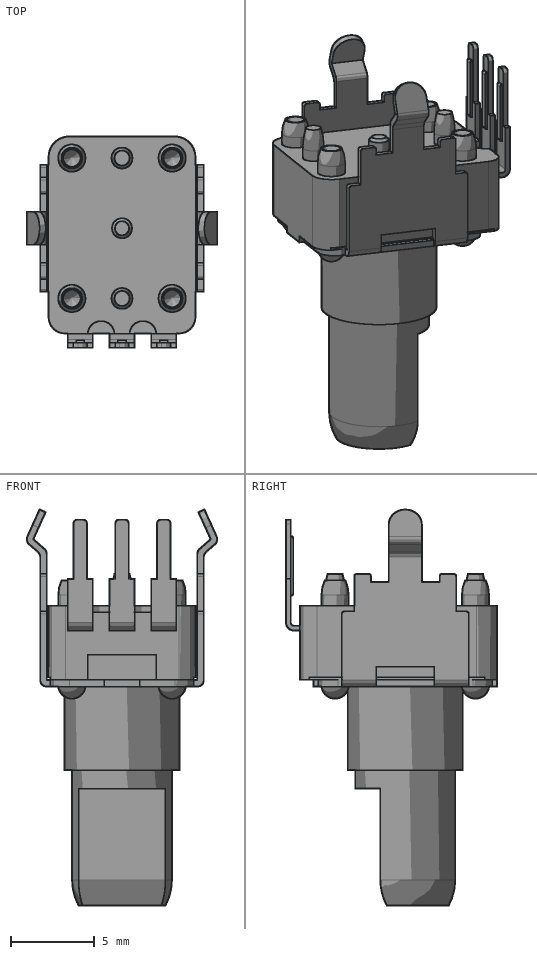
import cadquery as cq
import math


BUSHING_RADIUS = 3.45
BUSHING_BOTTOM = -5.0
SHAFT_RADIUS = 3.0
SHAFT_BOTTOM = -13.1
SHAFT_FLAT_TOP = -6.1
SHAFT_FLAT_Y = -1.5
SHAFT_TIP_HEIGHT = 1.55
SHAFT_TIP_INSET = 0.4

SHEET = 0.4
PLATE_HALF_X = 4.3
PLATE_HALF_Y = 5.2
PLATE_CORNER = 1.15
PLATE_TAB_WIDTH = 2.1
PLATE_TAB_HALF_Y = 5.5
CLIP_OUTER_X = 4.9
CLIP_MID_X = CLIP_OUTER_X - SHEET / 2
CLIP_WIDTH = 7.6
CLIP_SHOULDER_Z = 4.5
CLIP_UPPER_WIDTH = 6.1
CLIP_UPPER_Z = 6.75
CLIP_CORNER = 0.15
CLIP_BEND_RADIUS = 0.4
TONGUE_WIDTH = 2.0
TONGUE_NOTCH_WIDTH = 4.1
TONGUE_NOTCH_Z = 6.27
TONGUE_BEND_Z = 8.03
TONGUE_ELBOW_X = 5.545
TONGUE_ELBOW_Z = 8.77
TONGUE_TIP_X = 4.75
TONGUE_TIP_Z = 10.52
WINDOW_WIDTH = 3.45
WINDOW_TOP = 1.2
WINDOW_LEDGE_X = 4.65

BODY_HALF_X = 4.4
BODY_BACK = 5.5
BODY_FRONT = -6.3
BODY_TOP = 4.85
BODY_CORNER = 1.0
BODY_BACK_CORNER = 1.25
BODY_STEP_TOP = 0.55
BODY_STEP_INSET = 0.1
POCKET_WIDTH = 4.1
POCKET_TOP = 1.9
POCKET_DEPTH = 1.4
SCALLOP_RADIUS = 0.8
SCALLOP_DEPTH = 0.4
SCALLOP_CENTER_Y = BODY_FRONT - 0.05
PAD_OUTER_X = 4.5

RIVET_X = 3.0
RIVET_Y = 4.2
RIVET_RADIUS = 0.82
COLLAR_HEIGHT = 0.65
RIVET_TOP = 6.36
RIVET_TOP_RADIUS = 0.62
RIVET_HOLE_RADIUS = 0.52
RIVET_HOLE_DEPTH = 0.6
RIVET_HEAD_HEIGHT = 0.72
PEG_RADIUS = 0.63
PEG_TOP = 6.75
PEG_TOP_RADIUS = 0.45
CENTER_PEG_RADIUS = 0.6
CENTER_PEG_TOP = 5.7
CENTER_PEG_CHAMFER = 0.18

TERMINAL_PITCH = 2.5
TERMINAL_SHEET = 0.3
TERMINAL_FRONT = -7.15
TERMINAL_BOTTOM = 3.35
TERMINAL_BEND_RADIUS = 0.5
TERMINAL_ROOT = 1.0
TERMINAL_WIDTH = 1.52
TERMINAL_SHOULDER_Z = 6.45
TERMINAL_PIN_WIDTH = 0.82
TERMINAL_TOP = 10.0
TERMINAL_TIP_RADIUS = 0.25
BEAD_WIDTH = 0.5
BEAD_HEIGHT = 0.15
BEAD_EDGE_RADIUS = 0.13
BEAD_BOTTOM = 5.45
BEAD_TOP = 9.0


def box(x0, x1, y0, y1, z0, z1):
    """Block between two opposite corners."""
    return cq.Workplane("XY").box(x1 - x0, y1 - y0, z1 - z0, centered=False).translate((x0, y0, z0))


def cylinder(radius, bottom, top, x=0, y=0):
    """Upright cylinder centred on (x, y)."""
    return cq.Workplane("XY", origin=(x, y, bottom)).circle(radius).extrude(top - bottom)


def mirror_x(shape):
    """The shape together with its mirror image on the other X side."""
    return shape.union(shape.mirror("YZ"))


def tip_arc_radius():
    """Radius of the arc that leaves the shaft side tangentially and reaches the tip."""
    return (SHAFT_TIP_HEIGHT**2 + SHAFT_TIP_INSET**2) / (2 * SHAFT_TIP_INSET)


def rounded_tip_profile(plane, near, side):
    """Profile from `near` to the shaft side at `side`, its bottom corner rounded off."""
    tip_top = SHAFT_BOTTOM + SHAFT_TIP_HEIGHT
    radius = tip_arc_radius()
    half_angle = math.asin(SHAFT_TIP_HEIGHT / radius) / 2
    outward = math.copysign(1, side - near)
    middle = side - outward * radius * (1 - math.cos(half_angle))
    return (
        cq.Workplane(plane)
        .moveTo(near, 0)
        .lineTo(side, 0)
        .lineTo(side, tip_top)
        .threePointArc(
            (middle, tip_top - radius * math.sin(half_angle)),
            (side - outward * SHAFT_TIP_INSET, SHAFT_BOTTOM),
        )
        .lineTo(near, SHAFT_BOTTOM)
        .close()
    )


def make_shaft():
    """D-shaped shaft with a rounded tip, its round collar and the bushing."""
    shaft = rounded_tip_profile("XZ", 0, SHAFT_RADIUS).revolve(360, (0, 0), (0, 1))
    d_shape = rounded_tip_profile("YZ", SHAFT_RADIUS, SHAFT_FLAT_Y).extrude(SHAFT_RADIUS, both=True)
    collar = cylinder(SHAFT_RADIUS, SHAFT_FLAT_TOP, 0)
    bushing = cylinder(BUSHING_RADIUS, BUSHING_BOTTOM, SHEET)
    return shaft.intersect(d_shape).union(collar).union(bushing)


def make_body():
    """Plastic block with stepped lower sides, a front pocket, scallops and window pads."""
    body = box(-BODY_HALF_X, BODY_HALF_X, BODY_FRONT, BODY_BACK, SHEET, BODY_TOP)
    body = body.edges("|Z and <Y").fillet(BODY_CORNER)
    body = body.edges("|Z and >Y").fillet(BODY_BACK_CORNER)
    step = box(
        BODY_HALF_X - BODY_STEP_INSET, BODY_HALF_X, BODY_FRONT, BODY_BACK, SHEET, BODY_STEP_TOP
    )
    body = body.cut(mirror_x(step))
    half_pocket = POCKET_WIDTH / 2
    body = body.cut(
        box(-half_pocket, half_pocket, BODY_FRONT, BODY_FRONT + POCKET_DEPTH, SHEET, POCKET_TOP)
    )
    for x in (-TERMINAL_PITCH / 2, TERMINAL_PITCH / 2):
        scallop = cylinder(SCALLOP_RADIUS, BODY_TOP - SCALLOP_DEPTH, BODY_TOP, x, SCALLOP_CENTER_Y)
        body = body.cut(scallop)
    half_window = WINDOW_WIDTH / 2
    pad = box(0, PAD_OUTER_X, -half_window, half_window, BODY_STEP_TOP, WINDOW_TOP)
    return body.union(mirror_x(pad))


def make_plate():
    """Flat plate with a shallow tab at the front and back."""
    plate = cq.Workplane("XY").rect(2 * PLATE_HALF_X, 2 * PLATE_HALF_Y).extrude(SHEET)
    plate = plate.edges("|Z").fillet(PLATE_CORNER)
    tabs = cq.Workplane("XY").rect(PLATE_TAB_WIDTH, 2 * PLATE_TAB_HALF_Y).extrude(SHEET)
    return plate.union(tabs)


def strip_sides(path):
    """Left and right corner points, in (x, z), of a constant thickness strip along a centre line."""
    angles = [math.atan2(b[1] - a[1], b[0] - a[0]) for a, b in zip(path, path[1:])]
    left = []
    right = []
    for i, (x, z) in enumerate(path):
        before = angles[max(i - 1, 0)]
        after = angles[min(i, len(angles) - 1)]
        across = (before + after) / 2 + math.pi / 2
        reach = SHEET / 2 / math.cos((after - before) / 2)
        left.append((x + reach * math.cos(across), z + reach * math.sin(across)))
        right.append((x - reach * math.cos(across), z - reach * math.sin(across)))
    return left, right


def make_tongue_outline():
    """Prism bounding the tongue: straight below the elbow, round ended square to its last leg."""
    half_tongue = TONGUE_WIDTH / 2
    straight = box(0, 2 * CLIP_OUTER_X, -half_tongue, half_tongue, 0, TONGUE_ELBOW_Z)
    lean = math.atan2(TONGUE_TIP_X - TONGUE_ELBOW_X, TONGUE_TIP_Z - TONGUE_ELBOW_Z)
    leg = math.hypot(TONGUE_TIP_X - TONGUE_ELBOW_X, TONGUE_TIP_Z - TONGUE_ELBOW_Z)
    leg_plane = cq.Plane(
        origin=(TONGUE_ELBOW_X, 0, TONGUE_ELBOW_Z),
        xDir=(0, 1, 0),
        normal=(math.cos(lean), 0, -math.sin(lean)),
    )
    round_end = (
        cq.Workplane(leg_plane)
        .moveTo(-half_tongue, -half_tongue)
        .lineTo(half_tongue, -half_tongue)
        .lineTo(half_tongue, leg - half_tongue)
        .threePointArc((0, leg), (-half_tongue, leg - half_tongue))
        .close()
        .extrude(SHEET, both=True)
    )
    return straight.union(round_end)


def make_clip():
    """Clip on the +X side: bent strip trimmed to a stepped outline with a springy tongue."""
    path = [
        (0, SHEET / 2),
        (CLIP_MID_X, SHEET / 2),
        (CLIP_MID_X, TONGUE_BEND_Z),
        (TONGUE_ELBOW_X, TONGUE_ELBOW_Z),
        (TONGUE_TIP_X, TONGUE_TIP_Z),
    ]
    inner, outer = strip_sides(path)
    half_width = CLIP_WIDTH / 2
    strip = cq.Workplane("XZ").polyline(outer + inner[::-1]).close().extrude(half_width, both=True)
    outside_bends = (outer[1], inner[2], outer[2], outer[3])
    for x, z in outside_bends:
        strip = strip.edges(cq.NearestToPointSelector((x, 0, z))).fillet(CLIP_BEND_RADIUS)

    depth = 2 * CLIP_OUTER_X
    lower = box(0, depth, -half_width, half_width, 0, CLIP_SHOULDER_Z)
    half_upper = CLIP_UPPER_WIDTH / 2
    upper = box(0, depth, -half_upper, half_upper, 0, CLIP_UPPER_Z)
    half_notch = TONGUE_NOTCH_WIDTH / 2
    notch = box(0, depth, -half_notch, half_notch, TONGUE_NOTCH_Z, CLIP_UPPER_Z)
    lower = lower.edges("|X and >Z").fillet(CLIP_CORNER)
    upper = upper.cut(notch).edges("|X and >Z").fillet(CLIP_CORNER)
    outline = lower.union(upper).union(make_tongue_outline())
    clip = strip.intersect(outline)
    half_window = WINDOW_WIDTH / 2
    clip = clip.cut(box(CLIP_MID_X - SHEET, depth, -half_window, half_window, SHEET, WINDOW_TOP))
    return clip.cut(box(WINDOW_LEDGE_X, depth, -half_window, half_window, 0, SHEET))


def bulged_post_profile(radius, top_radius, top):
    """Half section of a post: a plain collar above the body, then an arc narrowing to the top."""
    return (
        cq.Workplane("XZ")
        .moveTo(0, SHEET)
        .lineTo(radius, SHEET)
        .lineTo(radius, BODY_TOP + COLLAR_HEIGHT)
        .tangentArcPoint((top_radius, top), relative=False)
        .lineTo(0, top)
        .close()
    )


def make_rivet():
    """Post with a conical hole in its top, and its domed head below the plate."""
    post = bulged_post_profile(RIVET_RADIUS, RIVET_TOP_RADIUS, RIVET_TOP).revolve(360, (0, 0), (0, 1))
    hole = cq.Workplane(
        cq.Solid.makeCone(
            0,
            RIVET_HOLE_RADIUS,
            RIVET_HOLE_DEPTH,
            pnt=cq.Vector(0, 0, RIVET_TOP - RIVET_HOLE_DEPTH),
        )
    )
    post = post.cut(hole)
    dome_radius = (RIVET_RADIUS**2 + RIVET_HEAD_HEIGHT**2) / (2 * RIVET_HEAD_HEIGHT)
    dome_center = dome_radius - RIVET_HEAD_HEIGHT
    ball = cq.Workplane("XY").sphere(dome_radius).translate((0, 0, dome_center))
    head = ball.intersect(cylinder(dome_radius, -RIVET_HEAD_HEIGHT, 0))
    neck = cylinder(RIVET_RADIUS, 0, SHEET)
    return post.union(head).union(neck)


def make_pegs():
    """Short middle peg and the two tall pegs in line with the rivet rows."""
    peg = bulged_post_profile(PEG_RADIUS, PEG_TOP_RADIUS, PEG_TOP).revolve(360, (0, 0), (0, 1))
    center_peg = cylinder(CENTER_PEG_RADIUS, SHEET, CENTER_PEG_TOP)
    pegs = center_peg.faces(">Z").chamfer(CENTER_PEG_CHAMFER)
    for y in (-RIVET_Y, RIVET_Y):
        pegs = pegs.union(peg.translate((0, y, 0)))
    return pegs


def make_terminal():
    """L-shaped terminal leaving the body front, narrowed to a pin, with a bead on its back."""
    half_width = TERMINAL_WIDTH / 2
    half_pin = TERMINAL_PIN_WIDTH / 2
    back = TERMINAL_FRONT + TERMINAL_SHEET
    root = BODY_FRONT + TERMINAL_ROOT
    terminal = box(-half_width, half_width, TERMINAL_FRONT, root, TERMINAL_BOTTOM, TERMINAL_SHOULDER_Z)
    terminal = terminal.edges("|X and <Y and <Z").fillet(TERMINAL_BEND_RADIUS)
    above_foot = box(
        -half_width, half_width, back, root, TERMINAL_BOTTOM + TERMINAL_SHEET, TERMINAL_SHOULDER_Z
    )
    bend_inner_radius = TERMINAL_BEND_RADIUS - TERMINAL_SHEET
    terminal = terminal.cut(above_foot.edges("|X and <Y and <Z").fillet(bend_inner_radius))
    pin = box(-half_pin, half_pin, TERMINAL_FRONT, back, TERMINAL_SHOULDER_Z, TERMINAL_TOP)
    pin = pin.edges("|Y and >Z").fillet(TERMINAL_TIP_RADIUS)
    half_bead = BEAD_WIDTH / 2
    bead = box(-half_bead, half_bead, back, back + BEAD_HEIGHT, BEAD_BOTTOM, BEAD_TOP)
    bead = bead.edges(">Y and |X").fillet(BEAD_EDGE_RADIUS)
    return terminal.union(pin).union(bead)


result = make_body().union(make_plate()).union(make_shaft())
result = result.union(mirror_x(make_clip()))
rivet = make_rivet()
for x in (-RIVET_X, RIVET_X):
    for y in (-RIVET_Y, RIVET_Y):
        result = result.union(rivet.translate((x, y, 0)))
result = result.union(make_pegs())
terminal = make_terminal()
for x in (-TERMINAL_PITCH, 0, TERMINAL_PITCH):
    result = result.union(terminal.translate((x, 0, 0)))